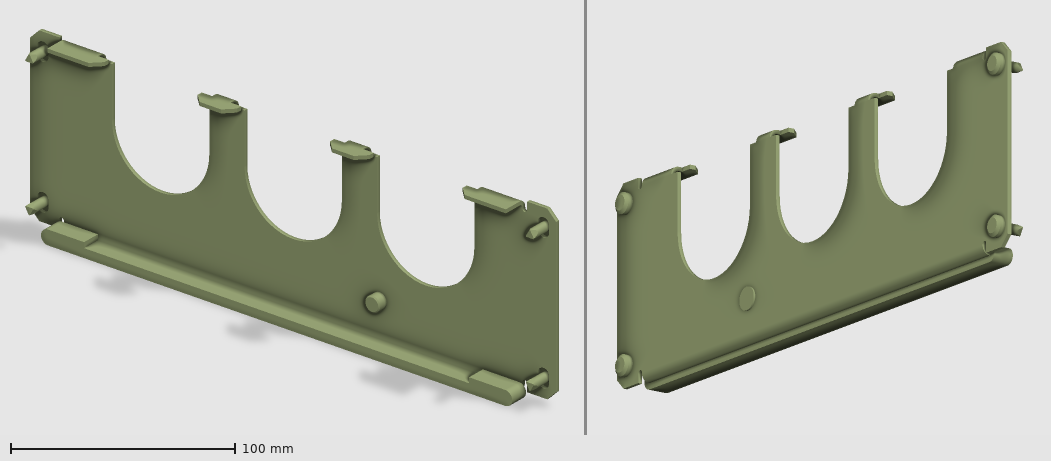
import cadquery as cq
import math


panel_length = 298.0
panel_height = 95.0
sheet = 2.0
bend_inner = 2.0
bend_outer = bend_inner + sheet
reach = 14.0
corner_chamfer = 5.0
half_length = panel_length / 2

opening_count = 3
opening_pitch = 75.0
opening_width = 55.0
opening_depth = 59.5
opening_radius = opening_width / 2
tongue_width = opening_pitch - opening_width

relief_start = 16.5
relief_width = 2.7
relief_depth = 5.7
bend_end = half_length - relief_start - relief_width

neck_setback = 4.8
neck_reach = 6.0
wing_width = 6.0
wing_chamfer = 5.0

screw_x = half_length - 7.2
screw_pitch_z = 75.0
screw_edge = (panel_height - screw_pitch_z) / 2
screw_slot_width = 6.3
screw_slot_height = 10.0
shank_radius = 2.5
shank_end = 12.0
head_radius = 5.0
head_rim = 2.5
head_height = 3.5
head_top_radius = 3.5
tip_flats = 3
tip_length = 3.0
tip_flat_depth = 1.05

button_x = 49.0
button_z = 20.0
button_radius = 4.2
button_end = 7.5
button_chamfer = 0.5
button_flange_radius = 5.5
button_flange_height = 1.0

trim_lip = 3.0
trim_height = sheet + 2 * trim_lip
trim_end_gap = 3.5
trim_upper_lip_length = 21.0


def box(x0, x1, y0, y1, z0, z1):
    """Axis-aligned block between the given limits."""
    return cq.Workplane("XY").box(x1 - x0, y1 - y0, z1 - z0, centered=False).translate((x0, y0, z0))


def front_plane(x, y, z):
    """Sketch plane facing -Y: sketch X is part X, sketch Y is part Z."""
    return cq.Workplane("XZ", origin=(x, y, z))


def bent_strip(x0, x1, length):
    """Quarter bend at the bottom edge followed by a flat flange that ends at the given length."""
    arc = math.sqrt(0.5)
    return (
        cq.Workplane("YZ", origin=(x0, 0, 0))
        .moveTo(0, bend_outer)
        .threePointArc((-bend_outer * (1 - arc), bend_outer * (1 - arc)), (-bend_outer, 0))
        .lineTo(-length, 0)
        .lineTo(-length, sheet)
        .lineTo(-bend_outer, sheet)
        .threePointArc((-bend_outer + bend_inner * arc, bend_outer - bend_inner * arc), (-sheet, bend_outer))
        .close()
        .extrude(x1 - x0)
    )


def tab_wing(neck_x, side):
    """Part of a tab that widens beyond its neck, chamfered at the tip; side is +1 or -1 along X."""
    tip_x = neck_x + side * wing_width
    return (
        cq.Workplane("XY", origin=(0, 0, panel_height - sheet))
        .polyline([
            (neck_x, -neck_reach),
            (tip_x, -neck_reach),
            (tip_x, -reach + wing_chamfer),
            (tip_x - side * wing_chamfer, -reach),
            (neck_x, -reach),
        ])
        .close()
        .extrude(sheet)
    )


def top_tab(x0, x1, wing_sides):
    """Tab bent forward from the top edge, with its neck between x0 and x1."""
    tab = bent_strip(x0, x1, reach).mirror("XY").translate((0, 0, panel_height))
    for side in wing_sides:
        tab = tab.union(tab_wing(x1 if side > 0 else x0, side))
    return tab


def u_opening(x):
    """Cutter for one round-bottomed opening in the top edge."""
    arc_z = panel_height - opening_depth + opening_radius
    round_bottom = front_plane(x, 0, arc_z).circle(opening_radius).extrude(sheet)
    sides = box(x - opening_radius, x + opening_radius, -sheet, 0, arc_z, panel_height)
    return round_bottom.union(sides)


def upright_slot(x, z, height, width):
    """Cutter for a round-ended upright slot through the sheet, centred at x, z."""
    return front_plane(x, 0, z).slot2D(height, width, 90).extrude(sheet)


def make_panel():
    panel = (
        box(-half_length, half_length, -sheet, 0, 0, panel_height)
        .edges("|Y")
        .chamfer(corner_chamfer)
    )

    panel = panel.cut(box(-bend_end, bend_end, -sheet, 0, 0, bend_outer))
    panel = panel.cut(box(-bend_end, bend_end, -sheet, 0, panel_height - bend_outer, panel_height))

    outer_opening_x = (opening_count - 1) / 2 * opening_pitch
    for i in range(opening_count):
        panel = panel.cut(u_opening(i * opening_pitch - outer_opening_x))

    for x in (-bend_end - relief_width / 2, bend_end + relief_width / 2):
        for edge_z in (0, panel_height):
            panel = panel.cut(upright_slot(x, edge_z, 2 * relief_depth, relief_width))

    panel = panel.union(bent_strip(-bend_end, bend_end, reach))

    end_neck = outer_opening_x + opening_radius + neck_setback
    panel = panel.union(top_tab(-bend_end, -end_neck, [1]))
    panel = panel.union(top_tab(end_neck, bend_end, [-1]))
    half_neck = tongue_width / 2 - neck_setback
    for i in range(opening_count - 1):
        x = (i + 0.5) * opening_pitch - outer_opening_x
        panel = panel.union(top_tab(x - half_neck, x + half_neck, [-1, 1]))

    for x in (-screw_x, screw_x):
        for z in (screw_edge, panel_height - screw_edge):
            panel = panel.cut(upright_slot(x, z, screw_slot_height, screw_slot_width))
    return panel.cut(front_plane(button_x, 0, button_z).circle(button_radius).extrude(sheet))


def make_screw(x, z, ridge):
    """Screw with its head on the back face; ridge is the Z direction of the tip's upright ridge."""
    screw = (
        cq.Workplane("XY")
        .polyline([
            (0, -shank_end),
            (shank_radius, -shank_end),
            (shank_radius, 0),
            (head_radius, 0),
            (head_radius, head_rim),
            (head_top_radius, head_height),
            (0, head_height),
        ])
        .close()
        .revolve(360, (0, 0, 0), (0, 1, 0))
    )
    flat_cutter = (
        cq.Workplane("YZ", origin=(-shank_radius, 0, 0))
        .polyline([
            (-shank_end + tip_length, -ridge * shank_radius),
            (-shank_end, -ridge * (shank_radius - tip_flat_depth)),
            (-shank_end, -ridge * shank_radius),
        ])
        .close()
        .extrude(2 * shank_radius)
    )
    for i in range(tip_flats):
        screw = screw.cut(flat_cutter.rotate((0, 0, 0), (0, 1, 0), i * 360 / tip_flats))
    return screw.translate((x, 0, z))


def make_button():
    body = (
        front_plane(button_x, 0, button_z)
        .circle(button_radius)
        .extrude(button_end)
        .faces("<Y")
        .chamfer(button_chamfer)
    )
    flange = front_plane(button_x, button_flange_height, button_z).circle(button_flange_radius)
    return body.union(flange.extrude(button_flange_height))


def make_trim():
    """Round-ended strip over the flange edge, its upper lip kept only near the two ends."""
    trim_length = 2 * (bend_end + trim_end_gap)
    trim = (
        front_plane(0, -bend_outer, sheet / 2)
        .slot2D(trim_length, trim_height)
        .extrude(reach - bend_outer)
    )
    trim = trim.cut(box(-bend_end, bend_end, -reach, 0, 0, sheet))
    lip_gap_end = bend_end - trim_upper_lip_length
    return trim.cut(box(-lip_gap_end, lip_gap_end, -reach, 0, sheet, sheet + trim_lip))


panel = make_panel()
trim = make_trim()
button = make_button()
screws = []
for x in (-screw_x, screw_x):
    screws.append(make_screw(x, screw_edge, -1))
    screws.append(make_screw(x, panel_height - screw_edge, 1))

result = cq.Compound.makeCompound([
    panel.val(),
    trim.val(),
    button.val(),
    *[screw.val() for screw in screws],
])